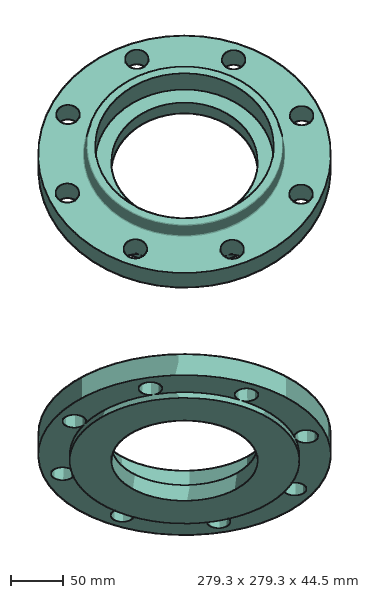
import cadquery as cq

raised_face_height = 6.5
flange_thickness = 24.0
total_height = 44.5
socket_depth = 26.5

flange_diameter = 279.3
raised_face_diameter = 219.3
hub_base_diameter = 191.5
hub_top_diameter = 187.1
socket_diameter = 170.5
bore_diameter = 139.7

hub_top_round = 1.5
hub_root_fillet = 1.5

bolt_count = 8
bolt_circle_diameter = 241.3
bolt_hole_diameter = 22.3

flange_top = raised_face_height + flange_thickness
hub_height = total_height - flange_top


def cylinder(diameter, bottom, height):
    """Upright cylinder on the Z axis."""
    return cq.Workplane("XY").workplane(offset=bottom).circle(diameter / 2).extrude(height)


def tapered_hub():
    """Solid hub narrowing from the flange face to its top."""
    return (
        cq.Workplane("XY")
        .workplane(offset=flange_top)
        .circle(hub_base_diameter / 2)
        .workplane(offset=hub_height)
        .circle(hub_top_diameter / 2)
        .loft(ruled=True)
    )


def bolt_holes():
    """Through holes evenly spaced on the bolt circle, the first one on +X."""
    return (
        cq.Workplane("XY")
        .polarArray(bolt_circle_diameter / 2, 0, 360, bolt_count)
        .circle(bolt_hole_diameter / 2)
        .extrude(total_height)
    )


body = cylinder(flange_diameter, raised_face_height, flange_thickness).union(tapered_hub())
hub_root = cq.selectors.RadiusNthSelector(1)
body = body.edges(hub_root).fillet(hub_root_fillet)
body = body.faces(">Z").edges().fillet(hub_top_round)

body = body.union(cylinder(raised_face_diameter, 0, raised_face_height))

body = body.cut(cylinder(socket_diameter, total_height - socket_depth, socket_depth))
body = body.cut(cylinder(bore_diameter, 0, total_height))

result = body.cut(bolt_holes())